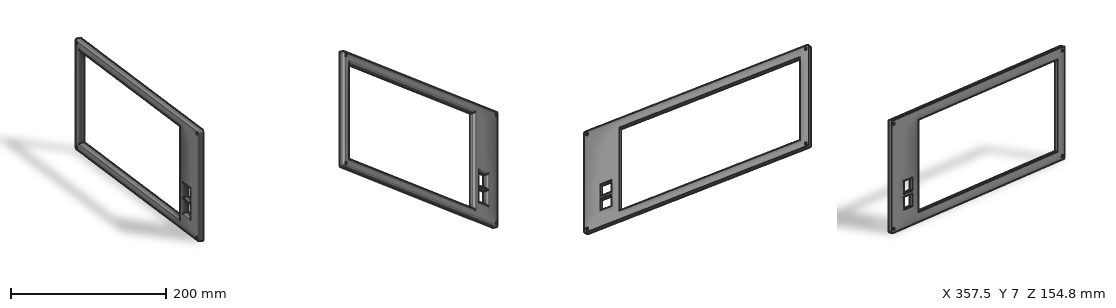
import cadquery as cq
import math

width = 357.5
height = 154.8
thickness = 7.0
edge_radius = 3.0

display_width = 287.0
display_height = 127.0
display_left_margin = 14.3
display_center_z = -0.5
display_center_x = -width / 2 + display_left_margin + display_width / 2

window_size = 18.0
window_bar = 4.0
window_center_x = 144.0
window_pair_center_z = -32.0
window_pitch = window_size + window_bar

hole_diameter = 3.4
hole_inset = 5.0


def make_plate():
    """Plate with rounded corners and a rounded front rim; the back rim stays sharp."""
    plate = cq.Workplane("XY").box(width, thickness, height).translate((0, thickness / 2, 0))
    plate = plate.edges("|Y").fillet(edge_radius)
    return plate.faces("<Y").edges().fillet(edge_radius)


def flared_prism(plane, opening, length):
    """Prism of an opening's cross-section: straight at the back, flaring out in arcs to the front face."""
    half = opening / 2
    flare = half + edge_radius
    arc_offset = edge_radius * (1 - math.sqrt(0.5))
    return (
        cq.Workplane(plane)
        .moveTo(-flare, 0)
        .threePointArc((-half - arc_offset, arc_offset), (-half, edge_radius))
        .lineTo(-half, thickness)
        .lineTo(half, thickness)
        .lineTo(half, edge_radius)
        .threePointArc((half + arc_offset, arc_offset), (flare, 0))
        .close()
        .extrude(length / 2, both=True)
    )


def make_opening_cutter(opening_width, opening_height, center_x, center_z):
    """Cutter for a sharp-cornered through opening with a rounded front rim and mitred corners."""
    flared_width = opening_width + 2 * edge_radius
    flared_height = opening_height + 2 * edge_radius
    height_section = cq.Plane(origin=(0, 0, 0), xDir=(0, 0, 1), normal=(-1, 0, 0))
    side_flares = flared_prism("XY", opening_width, flared_height)
    top_and_bottom_flares = flared_prism(height_section, opening_height, flared_width)
    return side_flares.intersect(top_and_bottom_flares).translate((center_x, 0, center_z))


def make_screw_holes():
    """Four through-hole cutters, one near each corner."""
    return (
        cq.Workplane("XZ")
        .rect(width - 2 * hole_inset, height - 2 * hole_inset, forConstruction=True)
        .vertices()
        .circle(hole_diameter / 2)
        .extrude(-thickness)
    )


result = make_plate()
result = result.cut(make_opening_cutter(display_width, display_height, display_center_x, display_center_z))
for side in (-1, 1):
    window_center_z = window_pair_center_z + side * window_pitch / 2
    result = result.cut(make_opening_cutter(window_size, window_size, window_center_x, window_center_z))
result = result.cut(make_screw_holes())